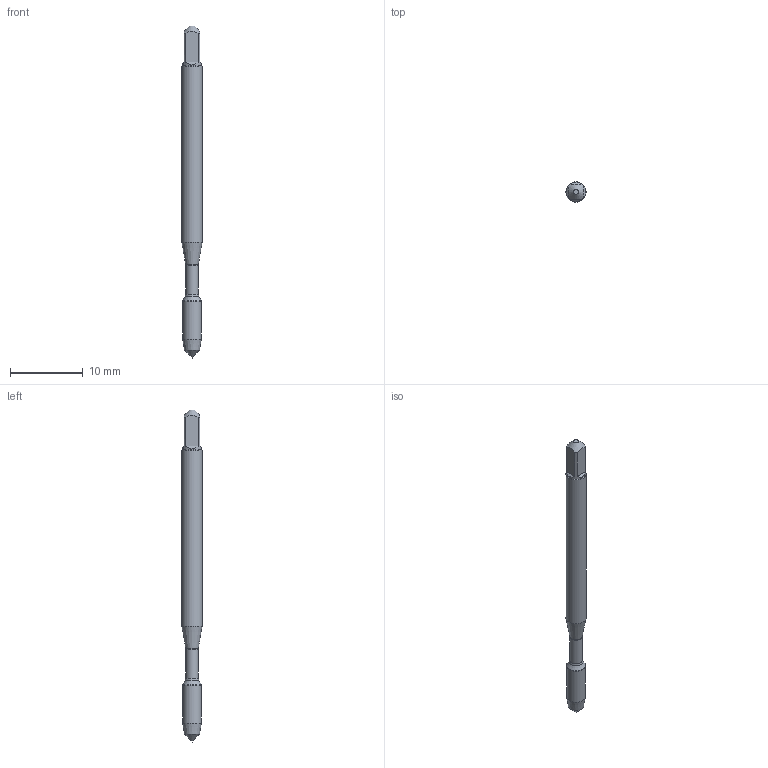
import cadquery as cq

lead_tip_diameter = 2.1
thread_diameter = 2.57
flare_diameter = 1.88
neck_diameter = 1.7
taper_end_diameter = 1.72
shank_diameter = 2.8
drive_diameter = 2.69
crown_height = 1.0
crown_flat_diameter = drive_diameter - 2 * crown_height

overall_length = 45.78
point_height = lead_tip_diameter / 2
thread_start = 2.6
thread_end = 7.83
shoulder_start = 7.92
shoulder_end = 8.49
neck_start = 8.8
neck_end = 12.78
taper_start = 12.87
taper_end = 15.96
shank_end = 40.235

shank_chamfer = (shank_diameter - drive_diameter) / 2

square_width = 2.1
square_start = 40.77


def revolve_outline(points):
    """Revolve about Z a half outline of (diameter, height) points that starts and ends on the axis."""
    return (
        cq.Workplane("XZ")
        .polyline([(diameter / 2, height) for diameter, height in points])
        .close()
        .revolve(360, (0, 0, 0), (0, 1, 0))
    )


def make_cutting_end():
    """Conical point, tapered lead and plain threaded length."""
    return revolve_outline([
        (0, 0),
        (lead_tip_diameter, point_height),
        (thread_diameter, thread_start),
        (thread_diameter, thread_end),
        (0, thread_end),
    ])


def make_shank_blank():
    """Shoulder, flared neck, taper, shank and crowned drive, still round all over."""
    return revolve_outline([
        (0, thread_end),
        (thread_diameter, thread_end),
        (thread_diameter, shoulder_start),
        (flare_diameter, shoulder_end),
        (neck_diameter, neck_start),
        (neck_diameter, neck_end),
        (taper_end_diameter, taper_start),
        (shank_diameter, taper_end),
        (shank_diameter, shank_end),
        (drive_diameter, shank_end + shank_chamfer),
        (drive_diameter, overall_length - crown_height),
        (crown_flat_diameter, overall_length),
        (0, overall_length),
    ])


def make_square_cutter():
    """Material outside the drive square, running out at 45 degrees below its flats."""
    drive_length = overall_length - square_start
    stock_width = 2 * shank_diameter
    runout = (stock_width - square_width) / 2
    square_plane = cq.Workplane("XY").workplane(offset=square_start)
    stock = (
        square_plane.workplane(offset=-runout)
        .rect(stock_width, stock_width)
        .extrude(runout + drive_length)
    )
    square = square_plane.rect(square_width, square_width).extrude(drive_length)
    runout_pyramid = square_plane.rect(square_width, square_width).extrude(-runout, taper=-45)
    return stock.cut(square).cut(runout_pyramid)


cutting_end = make_cutting_end()
shank = make_shank_blank().cut(make_square_cutter())

result = cq.Compound.makeCompound([cutting_end.val(), shank.val()])